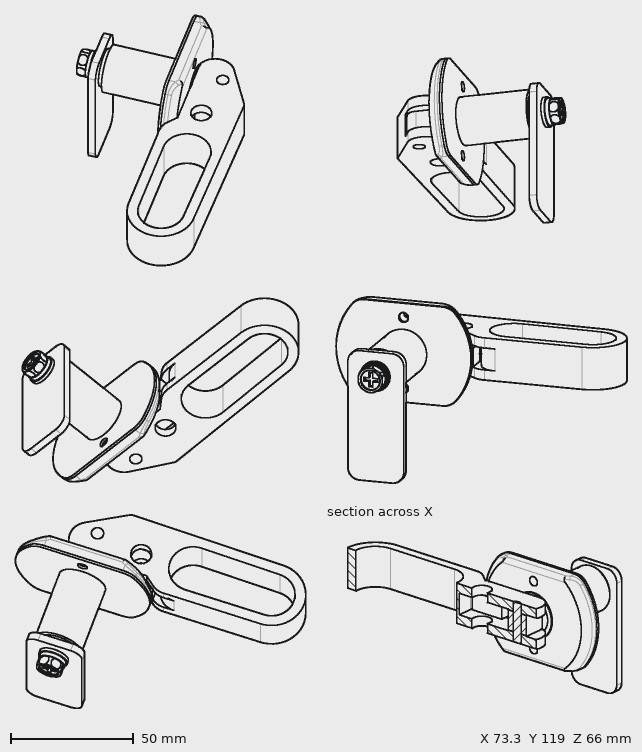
import cadquery as cq
import math


bolt_tip_x = -42.1
spring_washer_x = -38.3
flat_washer_x = -36.5
cam_x = -35.1
spindle_back_x = -31.9
barrel_back_x = -30.0
gasket_thickness = 1.1
plate_front_x = 6.7
barrel_front_x = 7.3

plate_radius = 29.0
plate_height = 42.0
plate_corner_radius = 7.0
plate_cone_x = 3.0
plate_edge_fillet = 2.0
screw_hole_diameter = 4.0
screw_hole_offset = 15.0

barrel_radius = 10.0
spindle_radius = 8.0
tongue_half_width = 5.0

lug_height = 8.0
lug_top_y = -13.3
lug_front_x = 11.0

cam_width = 24.0
cam_length = 55.0
cam_top_z = 10.0
cam_corner_radius = 5.0

head_radius = 5.6
head_end_radius = 5.2
head_flat_distance = 5.1
dish_radius = 4.2
dish_depth = 0.7
cross_length = 6.0
cross_width = 1.5
cross_depth = 1.8
shank_radius = 3.0
shank_end_x = -17.8
spring_washer_radius = 5.6
flat_washer_radius = 6.2

lever_thickness = 18.0
slot_height = 9.3
slot_back_x = 23.8
lip_radius = 8.0
lip_center_y = -38.5
lever_left_x = 2.1
lever_bottom_y = -90.0
lever_end_radius = 13.9
lever_end_center = (lever_left_x + lever_end_radius, lever_bottom_y + lever_end_radius)
lever_corner_x = 31.2
lever_corner_y = -10.4
tip_radius = 8.0
tip_center = (14.6, 2.6)
tip_slope = math.radians(30)
shoulder_y = -25.1
shoulder_slope = math.radians(40)
shoulder_fillet = 7.7
rim_width = 4.4
grip_top_y = -32.1
grip_top_radius = 9.9
padlock_hole_center = (15.7, -19.9)
padlock_hole_diameter = 8.5
pivot_x = 18.7
pivot_radius = 2.5


def rod(radius, start_x, end_x):
    """Solid cylinder on the barrel axis."""
    return cq.Workplane("YZ", origin=(start_x, 0, 0)).circle(radius).extrude(end_x - start_x)


def polar(center, radius, angle):
    return (center[0] + radius * math.cos(angle), center[1] + radius * math.sin(angle))


def right_tangent_angle(low_center, low_radius, high_center, high_radius):
    """Direction of the normal of the tangent line on the +X side of two circles."""
    dx = high_center[0] - low_center[0]
    dy = high_center[1] - low_center[1]
    lean = math.asin((low_radius - high_radius) / math.hypot(dx, dy))
    return math.atan2(dy, dx) - math.pi / 2 + lean


def plate_blank(start_x, end_x):
    """Disc with flat top and bottom and rounded corners."""
    length = end_x - start_x
    slab = (
        cq.Workplane("YZ", origin=(start_x, 0, 0))
        .rect(2 * plate_radius, plate_height)
        .extrude(length)
    )
    return rod(plate_radius, start_x, end_x).intersect(slab).edges("|X").fillet(plate_corner_radius)


def cut_screw_holes(body):
    holes = (
        cq.Workplane("YZ")
        .pushPoints([(0, screw_hole_offset), (0, -screw_hole_offset)])
        .circle(screw_hole_diameter / 2)
        .extrude(plate_front_x)
    )
    return body.cut(holes)


def make_gasket():
    ring = plate_blank(0, gasket_thickness).cut(rod(barrel_radius, 0, gasket_thickness))
    return cut_screw_holes(ring)


def make_housing():
    """Face plate with coned ends, barrel and lug, bored for the spindle."""
    cone_drop = plate_front_x - plate_cone_x
    coned_disc = (
        cq.Workplane("XY")
        .moveTo(gasket_thickness, 0)
        .lineTo(gasket_thickness, plate_radius)
        .lineTo(plate_cone_x, plate_radius)
        .lineTo(plate_front_x, plate_radius - cone_drop)
        .lineTo(plate_front_x, 0)
        .close()
        .revolve(360, (0, 0, 0), (1, 0, 0))
    )
    plate = plate_blank(gasket_thickness, plate_front_x).intersect(coned_disc)
    plate = plate.edges("not (|X or <X or (>X and %CIRCLE))").fillet(plate_edge_fillet)
    lug_corner = cq.Workplane("XY", origin=(plate_cone_x, -plate_radius, 0))
    lug_length = lug_front_x - plate_cone_x
    lug = lug_corner.box(lug_length, lug_top_y + plate_radius, lug_height, centered=(False, False, True))
    barrel = rod(barrel_radius, barrel_back_x, barrel_front_x)
    housing = cut_screw_holes(plate).union(barrel).union(lug)
    return housing.cut(rod(spindle_radius, barrel_back_x, barrel_front_x))


def make_pivot_pin():
    bottom = cq.Workplane("XY", origin=(pivot_x, 0, -lever_thickness / 2))
    return bottom.circle(pivot_radius).extrude(lever_thickness)


def make_spindle():
    """Shaft through the barrel with a flat tongue that carries the pivot pin."""
    tongue = (
        cq.Workplane("XY", origin=(0, 0, -slot_height / 2))
        .moveTo(barrel_front_x, -tongue_half_width)
        .lineTo(pivot_x, -tongue_half_width)
        .threePointArc((pivot_x + tongue_half_width, 0), (pivot_x, tongue_half_width))
        .lineTo(barrel_front_x, tongue_half_width)
        .close()
        .extrude(slot_height)
    )
    shaft = rod(spindle_radius, spindle_back_x, barrel_front_x)
    bolt_hole = rod(shank_radius, spindle_back_x, shank_end_x)
    return shaft.union(tongue).cut(bolt_hole).cut(make_pivot_pin())


def make_cam():
    plate = (
        cq.Workplane("YZ", origin=(cam_x, 0, 0))
        .center(0, cam_top_z - cam_length / 2)
        .rect(cam_width, cam_length)
        .extrude(spindle_back_x - cam_x)
        .edges("|X")
        .fillet(cam_corner_radius)
    )
    return plate.cut(rod(shank_radius, cam_x, spindle_back_x))


def make_washer(radius, start_x, end_x):
    return rod(radius, start_x, end_x).cut(rod(shank_radius, start_x, end_x))


def make_bolt():
    """Hexagon head with bulged corners, dished end and cross recess, on a plain shank."""
    head_length = spring_washer_x - bolt_tip_x
    bulge = (
        cq.Workplane("XY")
        .moveTo(bolt_tip_x, 0)
        .lineTo(bolt_tip_x, head_end_radius)
        .threePointArc((bolt_tip_x + head_length / 2, head_radius), (spring_washer_x, head_end_radius))
        .lineTo(spring_washer_x, 0)
        .close()
        .revolve(360, (0, 0, 0), (1, 0, 0))
    )
    corner_diameter = 2 * head_flat_distance / math.cos(math.pi / 6)
    hexagon = (
        cq.Workplane("YZ", origin=(bolt_tip_x, 0, 0))
        .transformed(rotate=(0, 0, 90))
        .polygon(6, corner_diameter)
        .extrude(head_length)
    )
    dish = rod(dish_radius, bolt_tip_x, bolt_tip_x + dish_depth)
    cross_sketch = cq.Workplane("YZ", origin=(bolt_tip_x, 0, 0))
    recess_depth = dish_depth + cross_depth
    cross = (
        cross_sketch.rect(cross_length, cross_width).extrude(recess_depth)
        .union(cross_sketch.rect(cross_width, cross_length).extrude(recess_depth))
    )
    head = bulge.intersect(hexagon).cut(dish).cut(cross)
    return head.union(rod(shank_radius, spring_washer_x, shank_end_x))


def lever_outline():
    corner = (lever_corner_x, lever_corner_y)
    end_angle = right_tangent_angle(lever_end_center, lever_end_radius, corner, 0)
    tip_edge_dx = barrel_front_x - tip_center[0]
    tip_start = (barrel_front_x, tip_center[1] + math.sqrt(tip_radius**2 - tip_edge_dx**2))
    shoulder_corner_y = shoulder_y - (barrel_front_x - lever_left_x) / math.tan(shoulder_slope)
    tangent = shoulder_fillet * math.tan(shoulder_slope / 2)
    fillet_center = (lever_left_x + shoulder_fillet, shoulder_corner_y - tangent)
    return (
        cq.Workplane("XY", origin=(0, 0, -lever_thickness / 2))
        .moveTo(*tip_start)
        .threePointArc(polar(tip_center, tip_radius, math.pi / 2), polar(tip_center, tip_radius, tip_slope))
        .lineTo(*corner)
        .lineTo(*polar(lever_end_center, lever_end_radius, end_angle))
        .threePointArc((lever_end_center[0], lever_bottom_y), (lever_left_x, lever_end_center[1]))
        .lineTo(lever_left_x, fillet_center[1])
        .threePointArc(
            polar(fillet_center, shoulder_fillet, math.pi - shoulder_slope / 2),
            polar(fillet_center, shoulder_fillet, math.pi - shoulder_slope),
        )
        .lineTo(barrel_front_x, shoulder_y)
        .close()
        .extrude(lever_thickness)
    )


def grip_opening():
    """Tapered long hole with a round at each end."""
    low_radius = lever_end_radius - rim_width
    high_center = (lever_end_center[0] - low_radius + grip_top_radius, grip_top_y - grip_top_radius)
    angle = right_tangent_angle(lever_end_center, low_radius, high_center, grip_top_radius)
    return (
        cq.Workplane("XY", origin=(0, 0, -lever_thickness / 2))
        .moveTo(lever_end_center[0] - low_radius, lever_end_center[1])
        .threePointArc(
            (lever_end_center[0], lever_end_center[1] - low_radius),
            polar(lever_end_center, low_radius, angle),
        )
        .lineTo(*polar(high_center, grip_top_radius, angle))
        .threePointArc((high_center[0], grip_top_y), (high_center[0] - grip_top_radius, high_center[1]))
        .close()
        .extrude(lever_thickness)
    )


def lever_slot():
    """Slot between the cheeks, open towards the plate and at the tip, with a rounded lower lip."""
    lip_center = (lever_left_x + lip_radius, lip_center_y)
    slot_top_y = tip_center[1] + tip_radius
    return (
        cq.Workplane("XY", origin=(0, 0, -slot_height / 2))
        .moveTo(lever_left_x, slot_top_y)
        .lineTo(lever_left_x, lip_center_y)
        .threePointArc(
            polar(lip_center, lip_radius, math.pi * 3 / 4),
            polar(lip_center, lip_radius, math.pi / 2),
        )
        .lineTo(slot_back_x, lip_center_y + lip_radius)
        .lineTo(slot_back_x, slot_top_y)
        .close()
        .extrude(slot_height)
    )


def make_lever():
    padlock_hole = (
        cq.Workplane("XY", origin=(*padlock_hole_center, -lever_thickness / 2))
        .circle(padlock_hole_diameter / 2)
        .extrude(lever_thickness)
    )
    lever = lever_outline().cut(grip_opening()).cut(lever_slot())
    return lever.cut(padlock_hole).cut(make_pivot_pin())


gasket = make_gasket()
housing = make_housing()
spindle = make_spindle()
cam = make_cam()
flat_washer = make_washer(flat_washer_radius, flat_washer_x, cam_x)
spring_washer = make_washer(spring_washer_radius, spring_washer_x, flat_washer_x)
bolt = make_bolt()
lever = make_lever()
pivot_pin = make_pivot_pin()

bodies = [gasket, housing, spindle, cam, flat_washer, spring_washer, bolt, lever, pivot_pin]
result = cq.Compound.makeCompound([body.val() for body in bodies])